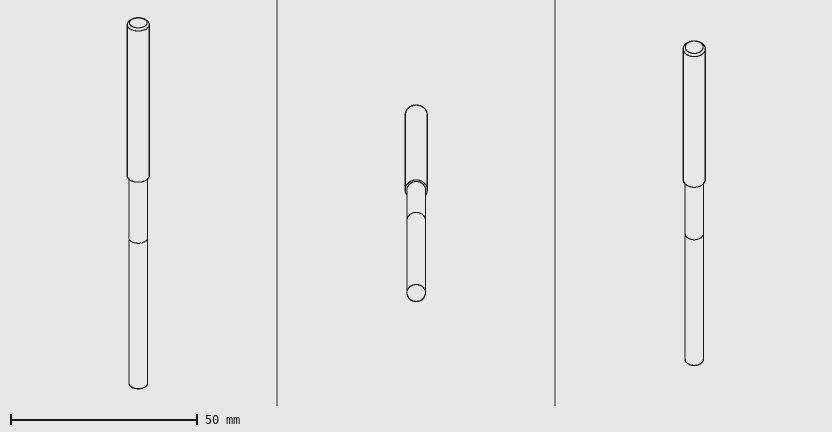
import cadquery as cq
import math

total_length = 118.9
shank_length = 50.0
cutting_length = 48.5

shank_diameter = 6.0
drill_diameter = 5.0

shank_chamfer = 0.6
point_angle = 140.0

drill_radius = drill_diameter / 2
tip_height = drill_radius / math.tan(math.radians(point_angle / 2))
neck_length = total_length - shank_length - cutting_length


def make_holder():
    """Chamfered shank with the slimmer neck below it."""
    neck = cq.Workplane("XY", origin=(0, 0, cutting_length)).circle(drill_radius).extrude(neck_length)
    shank = (
        cq.Workplane("XY", origin=(0, 0, cutting_length + neck_length))
        .circle(shank_diameter / 2)
        .extrude(shank_length)
        .faces(">Z")
        .chamfer(shank_chamfer)
    )
    return shank.union(neck)


def make_cutting_section():
    """Cylindrical cutting section ending in a pointed cone."""
    half_profile = (
        cq.Workplane("XZ")
        .moveTo(0, 0)
        .lineTo(drill_radius, tip_height)
        .lineTo(drill_radius, cutting_length)
        .lineTo(0, cutting_length)
        .close()
    )
    return half_profile.revolve(360, (0, 0, 0), (0, 1, 0))


holder = make_holder()
cutting_section = make_cutting_section()

result = cq.Compound.makeCompound([holder.val(), cutting_section.val()])